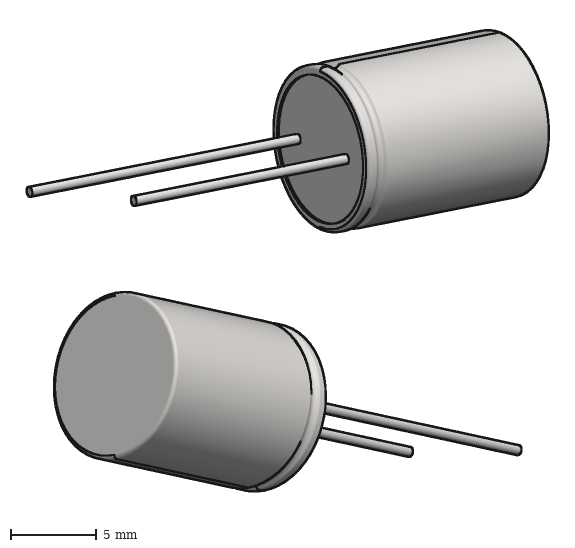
import cadquery as cq

body_diameter = 10.0
body_radius = body_diameter / 2
total_length = 32.0
long_lead_length = 19.0
short_lead_length = 15.0
body_length = total_length - long_lead_length

edge_radius = 0.22
rim_radius = body_radius - edge_radius

groove_center = 1.02
groove_depth = 0.2
groove_half_width = 0.45
lip_width = 0.15
lip_drop = groove_depth * lip_width / groove_half_width

bung_radius = 4.45
bung_recess = 0.13
bung_thickness = 1.4

lead_diameter = 0.6
lead_pitch = body_diameter / 2


def along_axis(radius, start, length, x=0):
    """Cylinder parallel to Y, from Y = start to start + length."""
    return cq.Workplane("XZ", origin=(x, start, 0)).circle(radius).extrude(-length)


def make_envelope():
    """Full outer shape of the body: rounded rims and a crimp groove."""
    lip_radius = body_radius - lip_drop
    lip_offset = groove_half_width - lip_width
    trough_radius = body_radius - groove_depth
    profile = (
        cq.Workplane("XY")
        .lineTo(rim_radius, 0)
        .tangentArcPoint((body_radius, edge_radius), relative=False)
        .lineTo(body_radius, groove_center - groove_half_width)
        .tangentArcPoint((lip_radius, groove_center - lip_offset), relative=False)
        .tangentArcPoint((trough_radius, groove_center), relative=False)
        .tangentArcPoint((lip_radius, groove_center + lip_offset), relative=False)
        .tangentArcPoint((body_radius, groove_center + groove_half_width), relative=False)
        .lineTo(body_radius, body_length - edge_radius)
        .tangentArcPoint((rim_radius, body_length), relative=False)
        .lineTo(0, body_length)
        .close()
    )
    return profile.revolve(360, (0, 0, 0), (0, 1, 0))


def make_stripe(envelope):
    """Polarity stripe: the outer skin of the +X half, as thick as the rim rounding."""
    stripe_half = cq.Workplane("XY").box(
        body_diameter, body_length, body_diameter, centered=(False, False, True)
    )
    core = along_axis(rim_radius, 0, body_length)
    return envelope.intersect(stripe_half).cut(core).solids()


def make_can(envelope, stripe):
    """Can with a front pocket for the bung and a seat for the stripe."""
    pocket = along_axis(bung_radius, 0, bung_recess + bung_thickness)
    return envelope.cut(stripe).cut(pocket).solids()


def make_bung():
    return along_axis(bung_radius, bung_recess, bung_thickness)


def make_lead(x, length):
    """Straight round lead, butted against the bung face."""
    return along_axis(lead_diameter / 2, -length, length + bung_recess, x)


envelope = make_envelope()
stripe = make_stripe(envelope)
can = make_can(envelope, stripe)
bung = make_bung()
leads = [
    make_lead(x, length)
    for x, length in [(-lead_pitch / 2, long_lead_length), (lead_pitch / 2, short_lead_length)]
]

result = cq.Compound.makeCompound(
    [can.val(), stripe.val(), bung.val(), *[lead.val() for lead in leads]]
)